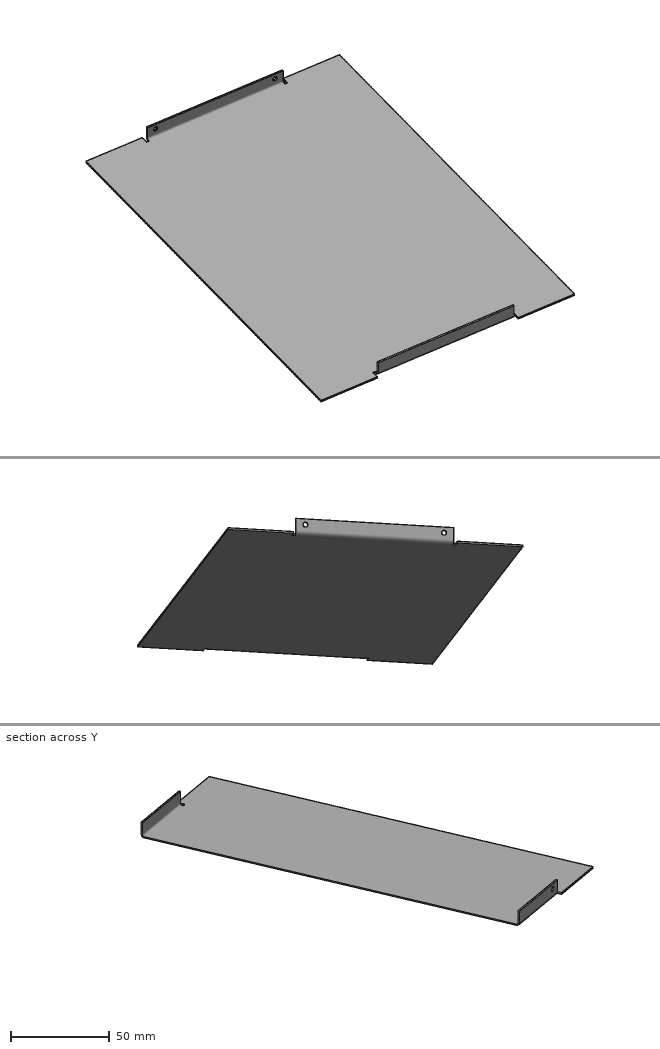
import cadquery as cq

PLATE_LENGTH = 220.84
PLATE_WIDTH = 153.0
SHEET_THICKNESS = 1.0

FLANGE_WIDTH = 82.0
FLANGE_HEIGHT = 8.5
FLANGE_INSET = 1.5
BEND_INNER_RADIUS = 1.0
BEND_OUTER_RADIUS = BEND_INNER_RADIUS + SHEET_THICKNESS
OUTER_FACE_X = PLATE_LENGTH / 2 - FLANGE_INSET
INNER_FACE_X = OUTER_FACE_X - SHEET_THICKNESS
BEND_START_X = OUTER_FACE_X - BEND_OUTER_RADIUS

RELIEF_WIDTH = 1.5
RELIEF_PAST_BEND = 0.5
NOTCH_WIDTH = FLANGE_WIDTH + 2 * RELIEF_WIDTH
NOTCH_FLOOR_X = BEND_START_X - RELIEF_PAST_BEND
NOTCH_DEPTH = PLATE_LENGTH / 2 - NOTCH_FLOOR_X

HOLE_DIAMETER = 2.5
HOLE_END_DISTANCE = 5.0
HOLE_TOP_DISTANCE = 3.0
HOLE_SPACING = FLANGE_WIDTH - 2 * HOLE_END_DISTANCE
HOLE_HEIGHT = FLANGE_HEIGHT - HOLE_TOP_DISTANCE


def make_plate():
    """Flat sheet with a wide notch in the middle of each X end."""
    plate = cq.Workplane("XY").box(
        PLATE_LENGTH, PLATE_WIDTH, SHEET_THICKNESS, centered=(True, True, False)
    )
    notch_centre_x = NOTCH_FLOOR_X + NOTCH_DEPTH / 2
    notches = (
        cq.Workplane("XY")
        .pushPoints([(-notch_centre_x, 0), (notch_centre_x, 0)])
        .rect(NOTCH_DEPTH, NOTCH_WIDTH)
        .extrude(SHEET_THICKNESS)
    )
    return plate.cut(notches)


def make_flange():
    """Short flat root, bend and upright leg filling the notch at the +X end."""
    return (
        cq.Workplane("XZ")
        .moveTo(NOTCH_FLOOR_X, 0)
        .lineTo(BEND_START_X, 0)
        .radiusArc((OUTER_FACE_X, BEND_OUTER_RADIUS), -BEND_OUTER_RADIUS)
        .lineTo(OUTER_FACE_X, FLANGE_HEIGHT)
        .lineTo(INNER_FACE_X, FLANGE_HEIGHT)
        .lineTo(INNER_FACE_X, BEND_OUTER_RADIUS)
        .radiusArc((BEND_START_X, SHEET_THICKNESS), BEND_INNER_RADIUS)
        .lineTo(NOTCH_FLOOR_X, SHEET_THICKNESS)
        .close()
        .extrude(FLANGE_WIDTH / 2, both=True)
    )


def make_hole_cutters():
    """Pair of pins that pierce the upright leg of the -X flange."""
    return (
        cq.Workplane("YZ", origin=(-OUTER_FACE_X, 0, HOLE_HEIGHT))
        .pushPoints([(-HOLE_SPACING / 2, 0), (HOLE_SPACING / 2, 0)])
        .circle(HOLE_DIAMETER / 2)
        .extrude(SHEET_THICKNESS)
    )


plain_flange = make_flange()
drilled_flange = plain_flange.mirror("YZ").cut(make_hole_cutters())
result = make_plate().union(plain_flange).union(drilled_flange)